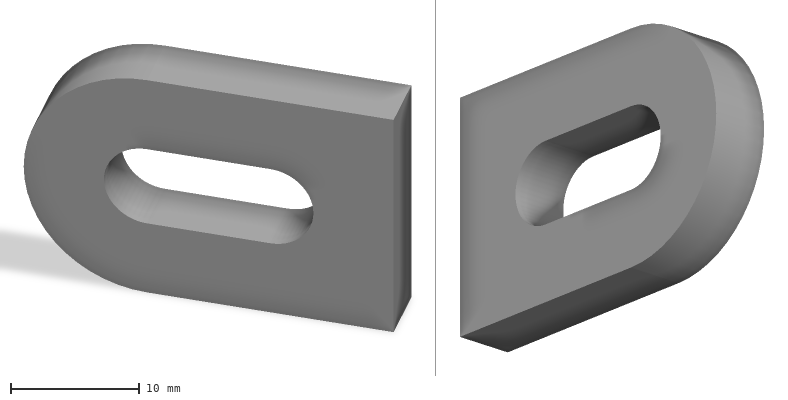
import cadquery as cq

length = 30.0
height = length * 2 / 3
thickness = length / 6
slot_height = 7.0
slot_center_distance = length / 3

end_radius = height / 2
slot_length = slot_center_distance + slot_height

square_end_x = length - end_radius


def make_plate():
    """Plate with a half-round end on -X and a square end on +X."""
    return (
        cq.Workplane("XZ")
        .moveTo(0, end_radius)
        .lineTo(square_end_x, end_radius)
        .lineTo(square_end_x, -end_radius)
        .lineTo(0, -end_radius)
        .threePointArc((-end_radius, 0), (0, end_radius))
        .close()
        .extrude(thickness / 2, both=True)
    )


def make_slot():
    """Through slot whose -X end is concentric with the rounded plate end."""
    return (
        cq.Workplane("XZ")
        .center(slot_center_distance / 2, 0)
        .slot2D(slot_length, slot_height)
        .extrude(thickness, both=True)
    )


result = make_plate().cut(make_slot())